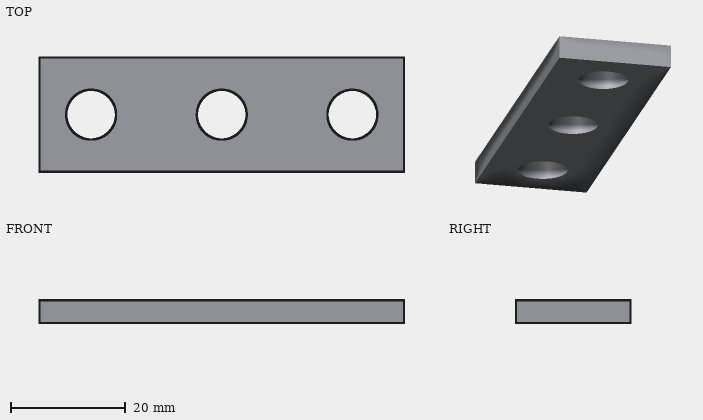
import cadquery as cq

length = 63.6
width = 20.0
thickness = 4.0

hole_count = 3
hole_diameter = 8.65
hole_pitch = 22.8

bar = cq.Workplane("XY").box(length, width, thickness)

result = (
    bar.faces(">Z")
    .workplane()
    .rarray(hole_pitch, width, hole_count, 1)
    .hole(hole_diameter)
)